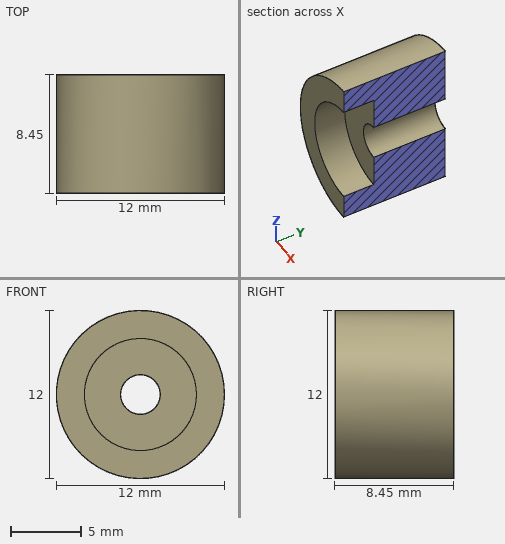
import cadquery as cq

outer_diameter = 11.98
length = 8.45
recess_diameter = 7.98
recess_depth = 2.49
bore_diameter = 2.8


def cylinder_along_y(diameter, height, start_y):
    """Cylinder centred on the Y axis, running from start_y toward +Y."""
    plane = cq.Plane(origin=(0, start_y, 0), xDir=(1, 0, 0), normal=(0, 1, 0))
    return cq.Workplane(plane).circle(diameter / 2).extrude(height)


front_y = -length / 2

body = cylinder_along_y(outer_diameter, length, front_y)
recess = cylinder_along_y(recess_diameter, recess_depth, front_y)
bore = cylinder_along_y(bore_diameter, length, front_y)

result = body.cut(recess).cut(bore)